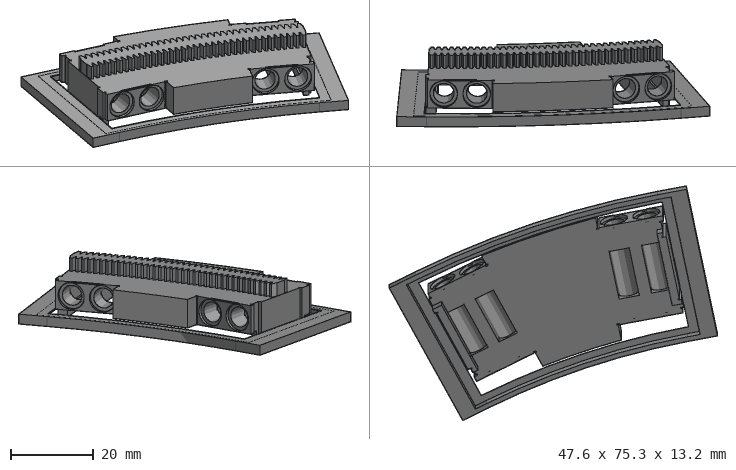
import cadquery as cq
import math

CENTRE_RADIUS = 198.3
SECTIONS_PER_CIRCLE = 22
SWEEP = 360 / SECTIONS_PER_CIRCLE

FRAME_HEIGHT = 2.5
OPENING_WIDTH = 32.6
SIDE_RAIL = 2.85
END_EXTENSION = 7.15
END_GAP = 0.6
LIP_THICKNESS = 0.2
SIDE_UNDERCUT = 1.65
END_UNDERCUT = 2.5

BLOCK_BOTTOM = 2.7
BLOCK_TOP = 9.9
BLOCK_WIDTH = 31.85
END_WIDTH = 25.4
END_LENGTH = 15.95
RELIEF = 0.3

KEY_WIDTH = 3.0
KEY_ACROSS = 9.8
TONGUE_LENGTH = 0.45
TONGUE_RELIEF_WIDTH = 0.19
RECESS_DEPTH = 0.7
RECESS_CLEARANCE = 0.1

FOOT_WIDTH = 18.8
FOOT_THICKNESS = 2.0

HOLE_DIAMETER = 5.0
COUNTERBORE_DIAMETER = 6.6
COUNTERBORE_DEPTH = 0.8
HOLE_PITCH = 8.0
FIRST_HOLE = 4.0
HOLE_Z = (BLOCK_BOTTOM + BLOCK_TOP) / 2
HOLE_ROUND_LENGTH = 6.5
LEDGE_DEPTH = 0.45
LEDGE_HEIGHT = 0.2

RACK_TOP = 13.2
RACK_TEETH = 36
RACK_END_INSET = 0.04
RACK_TIP_WIDTH = 6.6
RACK_ROOT_WIDTH = 3.15
TOOTH_TIP_SHARE = 0.4
TOOTH_ROOT_SHARE = 0.14


def centre_line_point(across, angle):
    """Point at a distance to the right of the centre line, at an angle in degrees along it."""
    radius = CENTRE_RADIUS - across
    turn = math.radians(angle)
    return (CENTRE_RADIUS - radius * math.cos(turn), radius * math.sin(turn))


def at_far_end(shape):
    """Copy of a near-end shape, moved to the far end and turned to face the other way."""
    turned = shape.rotate((0, 0, 0), (0, 0, 1), 180)
    return turned.rotate((CENTRE_RADIUS, 0, 0), (CENTRE_RADIUS, 0, 1), -SWEEP)


def end_box(across, along, heights):
    """Box at the near end, given by its limits across, along and in height."""
    return cq.Workplane("XY").add(
        cq.Solid.makeBox(
            max(across) - min(across),
            max(along) - min(along),
            max(heights) - min(heights),
            cq.Vector(min(across), min(along), min(heights)),
        )
    )


def curved_bar(width, bottom, top, extension=0.0):
    """Bar of constant width along the centre line, with a straight extension past each end."""
    half = width / 2
    bar = (
        cq.Workplane("XY", origin=(0, 0, bottom))
        .moveTo(*centre_line_point(-half, 0))
        .threePointArc(centre_line_point(-half, SWEEP / 2), centre_line_point(-half, SWEEP))
        .lineTo(*centre_line_point(half, SWEEP))
        .threePointArc(centre_line_point(half, SWEEP / 2), centre_line_point(half, 0))
        .close()
        .extrude(top - bottom)
    )
    if extension > 0:
        near = end_box((-half, half), (-extension, 0), (bottom, top))
        bar = bar.union(near).union(at_far_end(near))
    return bar


def make_frame():
    """Rail around the opening, undercut from below up to the lip."""
    outer = curved_bar(OPENING_WIDTH + 2 * SIDE_RAIL, 0, FRAME_HEIGHT, END_EXTENSION)
    opening = curved_bar(OPENING_WIDTH, 0, FRAME_HEIGHT, END_GAP)
    undercut = curved_bar(
        OPENING_WIDTH + 2 * SIDE_UNDERCUT,
        0,
        FRAME_HEIGHT - LIP_THICKNESS,
        END_GAP + END_UNDERCUT,
    )
    return outer.cut(opening).cut(undercut)


def block_box(across_from, across_to, along_from, along_to):
    """Box over the full block height, measured inwards from the block's near end face."""
    return end_box((across_from, across_to), (along_from, along_to), (0, BLOCK_TOP))


def side_notches():
    """Side notches that leave one straight end, with a relief in each inner corner."""
    waste = cq.Workplane("XY")
    for side in (-1, 1):
        face = side * END_WIDTH / 2
        notch = block_box(face, side * BLOCK_WIDTH, -TONGUE_LENGTH, END_LENGTH)
        relief = block_box(face - side * RELIEF, face, END_LENGTH - RELIEF, END_LENGTH + RELIEF)
        waste = waste.add(notch).add(relief)
    return waste.combine()


def key_recess():
    """Recess for a tongue, with a relief slit in each inner corner."""
    left = -KEY_ACROSS - KEY_WIDTH / 2 - RECESS_CLEARANCE
    right = -KEY_ACROSS + KEY_WIDTH / 2 + RECESS_CLEARANCE
    recess = block_box(left, right, 0, RECESS_DEPTH)
    for start in (left, right - RELIEF):
        recess = recess.union(block_box(start, start + RELIEF, 0, RECESS_DEPTH + RELIEF))
    return recess


def tongue():
    """Tongue that stands out of the end face and reaches back between its relief slits."""
    half = KEY_WIDTH / 2
    return block_box(KEY_ACROSS - half, KEY_ACROSS + half, -TONGUE_LENGTH, RELIEF)


def tongue_reliefs():
    """Relief slit at each side of the tongue."""
    left = KEY_ACROSS - KEY_WIDTH / 2
    right = KEY_ACROSS + KEY_WIDTH / 2
    left_slit = block_box(left - TONGUE_RELIEF_WIDTH, left, 0, RELIEF)
    right_slit = block_box(right, right + TONGUE_RELIEF_WIDTH, 0, RELIEF)
    return left_slit.union(right_slit)


def cross_cylinder(diameter, across_from, across_to, along):
    """Horizontal cylinder across the near end at hole height."""
    start = cq.Vector(across_from, along, HOLE_Z)
    length = across_to - across_from
    return cq.Workplane("XY").add(
        cq.Solid.makeCylinder(diameter / 2, length, start, cq.Vector(1, 0, 0))
    )


def end_holes():
    """Two counterbored cross holes that open downwards in the middle of the block."""
    face = END_WIDTH / 2
    places = (FIRST_HOLE, FIRST_HOLE + HOLE_PITCH)
    channel_half = face - HOLE_ROUND_LENGTH
    cutter = cq.Workplane("XY")
    for along in places:
        through = cross_cylinder(HOLE_DIAMETER, -face, face, along)
        channel = end_box(
            (-channel_half, channel_half),
            (along - HOLE_DIAMETER / 2, along + HOLE_DIAMETER / 2),
            (BLOCK_BOTTOM, HOLE_Z),
        )
        cutter = cutter.add(through).add(channel)
        for side in (-1, 1):
            inner, outer = sorted((side * (face - COUNTERBORE_DEPTH), side * face))
            cutter = cutter.add(cross_cylinder(COUNTERBORE_DIAMETER, inner, outer, along))
    for side in (-1, 1):
        ledge_across = (side * (face - LEDGE_DEPTH), side * face)
        cutter = cutter.add(end_box(ledge_across, places, (BLOCK_TOP - LEDGE_HEIGHT, BLOCK_TOP)))
    return cutter.combine()


def underside_waste():
    """Everything below the block except the foot under each end face."""
    waste = curved_bar(BLOCK_WIDTH, 0, BLOCK_BOTTOM, TONGUE_LENGTH)
    foot_half = FOOT_WIDTH / 2
    foot = block_box(-foot_half, foot_half, -TONGUE_LENGTH, FOOT_THICKNESS)
    return waste.cut(foot).cut(at_far_end(foot))


def make_rack():
    """Rack with symmetrical teeth on both sides, ending halfway through a tooth gap."""
    pitch = SWEEP / RACK_TEETH
    root_half = RACK_ROOT_WIDTH / 2
    tip_half = RACK_TIP_WIDTH / 2
    end_angle = math.degrees(RACK_END_INSET / CENTRE_RADIUS)
    left = [centre_line_point(-root_half, end_angle)]
    right = [centre_line_point(root_half, end_angle)]
    for tooth in range(RACK_TEETH):
        start = tooth * pitch
        corners = (
            (root_half, TOOTH_ROOT_SHARE / 2),
            (tip_half, (1 - TOOTH_TIP_SHARE) / 2),
            (tip_half, (1 + TOOTH_TIP_SHARE) / 2),
            (root_half, 1 - TOOTH_ROOT_SHARE / 2),
        )
        for half_width, share in corners:
            angle = start + share * pitch
            left.append(centre_line_point(-half_width, angle))
            right.append(centre_line_point(half_width, angle))
    left.append(centre_line_point(-root_half, SWEEP - end_angle))
    right.append(centre_line_point(root_half, SWEEP - end_angle))
    outline = left + right[::-1]
    return (
        cq.Workplane("XY", origin=(0, 0, BLOCK_TOP))
        .polyline(outline)
        .close()
        .extrude(RACK_TOP - BLOCK_TOP)
    )


def make_track():
    """Track block with its straight ends, feet, cross holes and the rack on top."""
    block = curved_bar(BLOCK_WIDTH, 0, BLOCK_TOP)
    waste = side_notches().union(key_recess()).union(tongue_reliefs())
    block = block.cut(waste).cut(at_far_end(waste))
    block = block.union(tongue()).union(at_far_end(tongue()))
    holes = end_holes()
    block = block.cut(holes).cut(at_far_end(holes))
    return block.cut(underside_waste()).union(make_rack())


frame = make_frame()
track = make_track()
result = cq.Compound.makeCompound([frame.val(), track.val()])